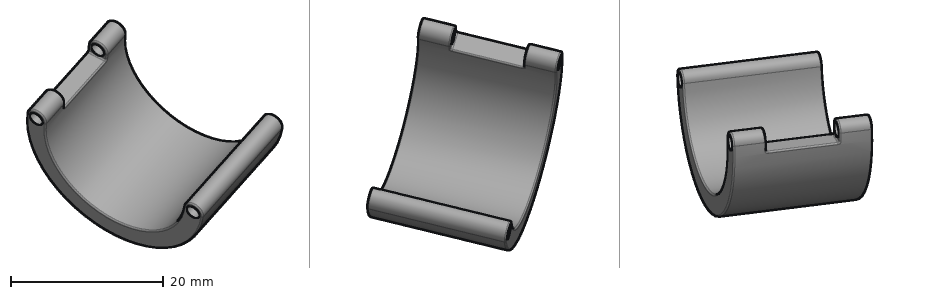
import cadquery as cq
import math

length = 27.9
wall = 3.0
width = 19.0
tilt = 6.4
pin_hole_diameter = 2.0
notch_width = 10.0
notch_floor = 0.2
edge_round = 0.22

end_radius = wall / 2
tilt_cosine = math.cos(math.radians(tilt))
outer_radius = (length - end_radius * (1 - tilt_cosine)) / (1 + tilt_cosine)
inner_radius = outer_radius - wall
middle_radius = outer_radius - end_radius
overshoot = 0.28


def polar(radius, degrees):
    """Point in the XZ plane at a radius and angle about the ring axis."""
    angle = math.radians(degrees)
    return radius * math.cos(angle), radius * math.sin(angle)


left_angle = 180 - tilt
right_angle = -tilt
left_eye = polar(middle_radius, left_angle)
right_eye = polar(middle_radius, right_angle)


def end_tip(eye):
    """Tip of a rounded end, one end radius beyond the eye along the arc."""
    dx, dz = polar(end_radius, 90 - tilt)
    return eye[0] + dx, eye[1] + dz


def half_ring():
    """Tilted half ring with fully rounded ends, centred on Y = 0."""
    bottom_angle = -90 - tilt
    return (
        cq.Workplane("XZ")
        .moveTo(*polar(outer_radius, left_angle))
        .threePointArc(polar(outer_radius, bottom_angle), polar(outer_radius, right_angle))
        .threePointArc(end_tip(right_eye), polar(inner_radius, right_angle))
        .threePointArc(polar(inner_radius, bottom_angle), polar(inner_radius, left_angle))
        .threePointArc(end_tip(left_eye), polar(outer_radius, left_angle))
        .close()
        .extrude(width / 2, both=True)
    )


def notch():
    """Block that clears the middle of the -X end, with rounded floor corners."""
    height = outer_radius
    depth = wall + 2 * overshoot
    return (
        cq.Workplane("XY")
        .box(depth, notch_width, height, centered=(True, True, False))
        .edges("|X and <Z")
        .fillet(edge_round)
        .translate((left_eye[0], 0, notch_floor))
    )


def pin_holes():
    """Through holes along Y at both rounded ends."""
    return (
        cq.Workplane("XZ")
        .pushPoints([left_eye, right_eye])
        .circle(pin_hole_diameter / 2)
        .extrude(width / 2 + overshoot, both=True)
    )


def notch_rim(body):
    """Edges where the notch walls and floor meet the curved surfaces."""
    reach = notch_width / 2 + edge_round / 2
    region = cq.selectors.BoxSelector(
        (-outer_radius - overshoot, -reach, notch_floor - overshoot),
        (-inner_radius + end_radius, reach, outer_radius),
    )
    return body.edges(region).edges("not |X")


body = half_ring().faces("<Y or >Y").edges().fillet(edge_round)
body = body.cut(notch())
body = notch_rim(body).fillet(edge_round)
result = body.cut(pin_holes())